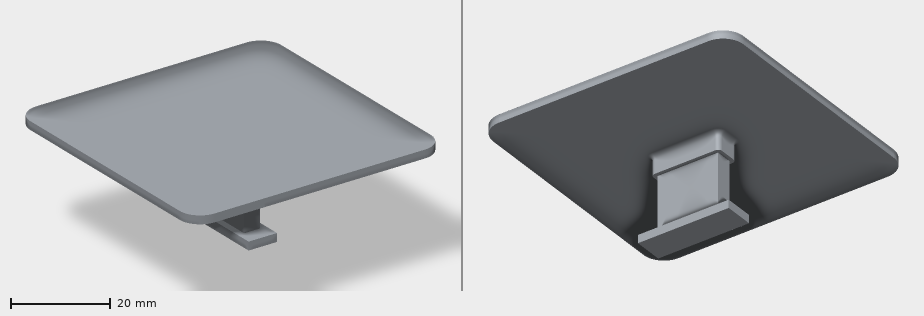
import cadquery as cq

plate_side = 62.0
total_height = 22.0

plate_thickness = 2.0
plate_corner_radius = 5.0

collar_length = 17.0
collar_width = 5.9
collar_height = 4.5
collar_corner_radius = 1.0
flare_radius = 1.0

stem_length = collar_length - 2 * collar_corner_radius
stem_width = collar_width - 2 * collar_corner_radius

foot_length = 22.5
foot_width = 7.0
foot_thickness = 2.0

plate_bottom = total_height - plate_thickness
collar_bottom = plate_bottom - collar_height


def block(length, width, bottom, top):
    """Box centred on the Z axis between two heights."""
    return cq.Workplane("XY").workplane(offset=bottom).rect(length, width).extrude(top - bottom)


plate = block(plate_side, plate_side, plate_bottom, total_height)
plate = plate.edges("|Z").fillet(plate_corner_radius)

collar = block(collar_length, collar_width, collar_bottom, plate_bottom)
collar = collar.edges("|Z").fillet(collar_corner_radius)

joint_box = cq.selectors.BoxSelector(
    (-collar_length, -collar_width, plate_bottom - flare_radius / 2),
    (collar_length, collar_width, plate_bottom + flare_radius / 2),
)
head = plate.union(collar).edges(joint_box).fillet(flare_radius)

stem = block(stem_length, stem_width, foot_thickness, collar_bottom)
foot = block(foot_length, foot_width, 0, foot_thickness)

result = head.union(stem).union(foot)